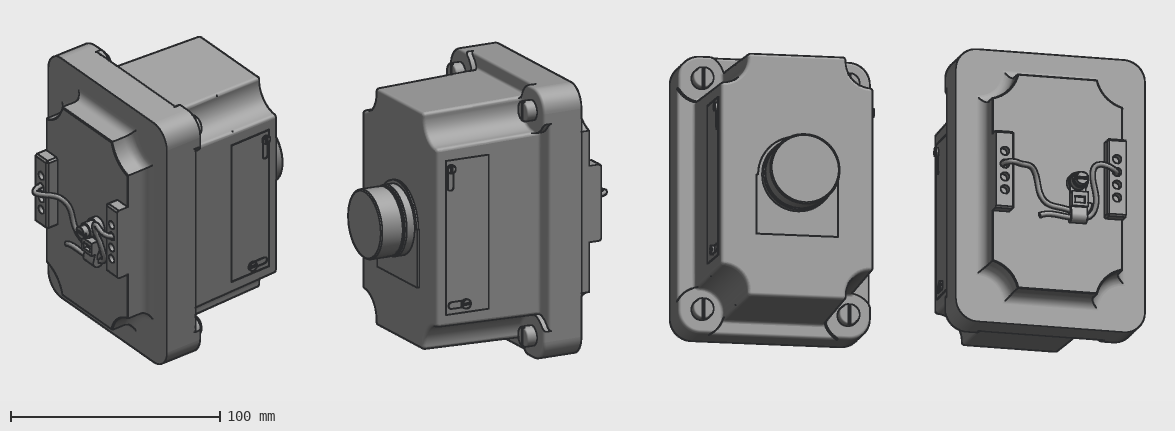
import cadquery as cq
import math

FLANGE_WIDTH = 93.7
FLANGE_HEIGHT = 134.9
FLANGE_THICKNESS = 18.0
CORNER_RADIUS = 10.5
EDGE_ROUND = 1.5

CORNER_X = FLANGE_WIDTH / 2 - CORNER_RADIUS
CORNER_Z = FLANGE_HEIGHT / 2 - CORNER_RADIUS
PAD_TOP = 20.8
PAD_RADIUS = 11.7
BOLT_X = 35.6
BOLT_Z = 56.2
BOLT_DIAMETER = 10.0
BOLT_HEIGHT = 5.3
BOLT_ROUND = 0.8
BOLT_SLOT_WIDTH = 1.1
BOLT_SLOT_DEPTH = 1.0

HOUSING_END = 73.6
HOUSING_BASE_X = 38.3
HOUSING_BASE_Z = 60.3
HOUSING_BASE_SCOOP = 11.2
HOUSING_DRAFT = 1.2
HOUSING_ROUND = 1.6
HOUSING_FOOT_ROUND = 1.3
FOOT_SEARCH_GAP = 0.1

PEDESTAL_X = 32.2
PEDESTAL_Z = 53.0
PEDESTAL_HEIGHT = 12.4
PEDESTAL_SCOOP = 17.1
PEDESTAL_CHAMFER = 0.4
COVE_RADIUS = 4.7

LABEL_START = 45.6
LABEL_END = 68.5
LABEL_TOP = 38.2
LABEL_BOTTOM = -38.7
LABEL_THICKNESS = 0.4
SCREW_TIP_X = 38.8
RECESS_DEPTH = 0.4
LABEL_SCREW_SLOT = 0.8
UPPER_SCREW_Y = 66.1
UPPER_SCREW_Z = 33.9
UPPER_SCREW_DIAMETER = 4.2
UPPER_RECESS_WIDTH = 3.0
UPPER_RECESS_END_Z = 22.9
LOWER_SCREW_Y = 58.0
LOWER_SCREW_Z = -34.4
LOWER_SCREW_DIAMETER = 4.6
LOWER_RECESS_WIDTH = 3.4
LOWER_RECESS_END_Y = 67.2

RING_RADIUS = 19.2
RING_THICKNESS = 1.1
TAG_WIDTH = 39.7
TAG_BOTTOM = -28.9
COLLAR_DIAMETER = 34.8
COLLAR_END = 79.6
NECK_DIAMETER = 31.5
NECK_END = 81.0
PLUG_DIAMETER = 34.0
PLUG_END = 92.7
PLUG_CHAMFER = 0.7

BLOCK_WIDTH = 9.2
BLOCK_DEPTH = 6.3
BLOCK_TOP = 22.7
BLOCK_BOTTOM = -15.5
BLOCK_CHAMFER = 1.0
TERMINAL_X = 27.8
TERMINAL_PITCH = 6.3
TERMINAL_DIAMETER = 4.2
TERMINAL_DEPTH = 4.0

CLAMP_X = 9.3
CLAMP_WIDTH = 7.8
CLAMP_SCREW_Z = 0.8
CLAMP_SCREW_TIERS = [(9.5, -15.6), (7.8, -20.1), (6.1, -23.5)]
CLAMP_SLOT_WIDTH = 1.1
CLAMP_SLOT_DEPTH = 1.3
CLAMP_STRAP_BACK = -14.7
CLAMP_STRAP_FRONT = -15.6
CLAMP_BLOCK_FRONT = -19.5
CLAMP_BLOCK_TOP = -4.9
CLAMP_BLOCK_BOTTOM = -12.0
WINDOW_WIDTH = 5.0
WINDOW_HEIGHT = 3.2
WINDOW_Z = -8.8
WINDOW_DEPTH = 2.0
LOOP_Y = -15.5
LOOP_Z = -16.3
LOOP_RADIUS = 3.1
LOOP_SLOPE = 15

WIRE_DIAMETER = 2.4

CORNERS = [(sx * CORNER_X, sz * CORNER_Z) for sx in (-1, 1) for sz in (-1, 1)]


def section(y):
    """Workplane at height y; local axes are X and Z, negative extrusion goes towards +Y."""
    return cq.Workplane("XZ", origin=(0, y, 0))


def box(x0, x1, y0, y1, z0, z1):
    return cq.Workplane("XY").box(x1 - x0, y1 - y0, z1 - z0, centered=False).translate((x0, y0, z0))


def disc(x, z, diameter, y0, y1):
    return section(y0).center(x, z).circle(diameter / 2).extrude(y0 - y1)


def scooped_outline(plane, half_x, half_z, scoop):
    """Rectangle whose corners are hollowed by arcs centred on the flange corner centres."""
    tip_x = CORNER_X - math.sqrt(scoop**2 - (half_z - CORNER_Z) ** 2)
    tip_z = CORNER_Z - math.sqrt(scoop**2 - (half_x - CORNER_X) ** 2)
    mid_x = CORNER_X - scoop * math.sqrt(0.5)
    mid_z = CORNER_Z - scoop * math.sqrt(0.5)
    return (
        plane.moveTo(-tip_x, half_z)
        .lineTo(tip_x, half_z)
        .threePointArc((mid_x, mid_z), (half_x, tip_z))
        .lineTo(half_x, -tip_z)
        .threePointArc((mid_x, -mid_z), (tip_x, -half_z))
        .lineTo(-tip_x, -half_z)
        .threePointArc((-mid_x, -mid_z), (-half_x, -tip_z))
        .lineTo(-half_x, tip_z)
        .threePointArc((-mid_x, mid_z), (-tip_x, half_z))
        .close()
    )


def flange_blank(height):
    plate = section(0).rect(FLANGE_WIDTH, FLANGE_HEIGHT).extrude(-height)
    return plate.edges("|Y").fillet(CORNER_RADIUS).faces(">Y").edges().fillet(EDGE_ROUND)


def corner_pads():
    """Round pads that reach the scooped housing wall and follow the flange outline."""
    pads = section(0).pushPoints(CORNERS).circle(PAD_RADIUS).extrude(-PAD_TOP)
    return pads.intersect(flange_blank(PAD_TOP))


def foot_edges(y):
    """Edges at height y where the housing wall meets the surface below it."""
    gap = FOOT_SEARCH_GAP
    reach_x = HOUSING_BASE_X + gap
    reach_z = HOUSING_BASE_Z + gap
    low = (-reach_x, y - gap, -reach_z)
    high = (reach_x, y + gap, reach_z)
    return cq.selectors.BoxSelector(low, high, boundingbox=True)


def bolt(x, z):
    end = PAD_TOP + BOLT_HEIGHT
    head = disc(x, z, BOLT_DIAMETER, PAD_TOP, end).faces(">Y").edges().fillet(BOLT_ROUND)
    half_slot = BOLT_SLOT_WIDTH / 2
    slot = box(x - half_slot, x + half_slot, end - BOLT_SLOT_DEPTH, end,
               z - BOLT_DIAMETER / 2, z + BOLT_DIAMETER / 2)
    return head.cut(slot)


def drafted_housing(growth=0.0):
    base_x = HOUSING_BASE_X + growth
    base_z = HOUSING_BASE_Z + growth
    base_scoop = HOUSING_BASE_SCOOP - growth
    base = scooped_outline(section(FLANGE_THICKNESS), base_x, base_z, base_scoop)
    end_plane = base.workplane(offset=FLANGE_THICKNESS - HOUSING_END)
    end = scooped_outline(end_plane, base_x - HOUSING_DRAFT, base_z - HOUSING_DRAFT,
                          base_scoop + HOUSING_DRAFT)
    return end.loft(ruled=True)


def housing():
    return drafted_housing().edges("not <Y").fillet(HOUSING_ROUND)


def pedestal():
    raised = scooped_outline(section(0), PEDESTAL_X, PEDESTAL_Z, PEDESTAL_SCOOP).extrude(PEDESTAL_HEIGHT)
    raised = raised.faces("<Y").edges().chamfer(PEDESTAL_CHAMFER)
    return raised.union(coved_foot())


def coved_foot():
    """Foot block hollowed by bars along its sides and rings around its scoops."""
    foot_x = PEDESTAL_X + COVE_RADIUS
    foot_z = PEDESTAL_Z + COVE_RADIUS
    foot_scoop = PEDESTAL_SCOOP - COVE_RADIUS
    foot = scooped_outline(section(0), foot_x, foot_z, foot_scoop).extrude(COVE_RADIUS)
    for side in (-1, 1):
        upright = cq.Workplane("XY").center(side * foot_x, -COVE_RADIUS).circle(COVE_RADIUS)
        foot = foot.cut(upright.extrude(foot_z, both=True))
        level = cq.Workplane("YZ").center(-COVE_RADIUS, side * foot_z).circle(COVE_RADIUS)
        foot = foot.cut(level.extrude(foot_x, both=True))
    for x, z in CORNERS:
        ring = cq.Solid.makeTorus(foot_scoop, COVE_RADIUS, cq.Vector(x, -COVE_RADIUS, z), cq.Vector(0, 1, 0))
        foot = foot.cut(cq.Workplane(ring))
    return foot


def label_plates():
    zone = box(-FLANGE_WIDTH, FLANGE_WIDTH, LABEL_START, LABEL_END, LABEL_BOTTOM, LABEL_TOP)
    return drafted_housing(LABEL_THICKNESS).intersect(zone)


def label_skin():
    """Outermost layer of the label plates, as deep as the recesses."""
    return drafted_housing(LABEL_THICKNESS).cut(drafted_housing(LABEL_THICKNESS - RECESS_DEPTH))


def label_screw(side, y, z, diameter, slot_angle):
    head = cq.Workplane("YZ").center(y, z).circle(diameter / 2).extrude(side * SCREW_TIP_X)
    tip_plane = cq.Workplane("YZ", origin=(side * SCREW_TIP_X, y, z))
    groove = tip_plane.transformed(rotate=(0, 0, slot_angle)).rect(diameter, LABEL_SCREW_SLOT)
    groove = groove.extrude(-side * RECESS_DEPTH)
    return head.cut(groove)


def add_upper_fastener(body, side):
    """Screw at the top of a shallow upright recess."""
    top = UPPER_SCREW_Z + UPPER_RECESS_WIDTH / 2
    recess = cq.Workplane("YZ").center(UPPER_SCREW_Y, (top + UPPER_RECESS_END_Z) / 2)
    recess = recess.slot2D(top - UPPER_RECESS_END_Z, UPPER_RECESS_WIDTH, 90).extrude(side * FLANGE_WIDTH)
    body = body.cut(recess.intersect(label_skin()))
    return body.union(label_screw(side, UPPER_SCREW_Y, UPPER_SCREW_Z, UPPER_SCREW_DIAMETER, 90))


def add_lower_fastener(body, side):
    """Screw at the front end of a shallow level recess."""
    front = LOWER_SCREW_Y - LOWER_RECESS_WIDTH / 2
    recess = cq.Workplane("YZ").center((front + LOWER_RECESS_END_Y) / 2, LOWER_SCREW_Z)
    recess = recess.slot2D(LOWER_RECESS_END_Y - front, LOWER_RECESS_WIDTH).extrude(side * FLANGE_WIDTH)
    body = body.cut(recess.intersect(label_skin()))
    return body.union(label_screw(side, LOWER_SCREW_Y, LOWER_SCREW_Z, LOWER_SCREW_DIAMETER, 0))


def connector():
    ring = disc(0, 0, 2 * RING_RADIUS, HOUSING_END, HOUSING_END + RING_THICKNESS)
    tag = box(-TAG_WIDTH / 2, TAG_WIDTH / 2, HOUSING_END, HOUSING_END + RING_THICKNESS, TAG_BOTTOM, 0)
    collar = disc(0, 0, COLLAR_DIAMETER, HOUSING_END, COLLAR_END).faces(">Y").edges().chamfer(PLUG_CHAMFER)
    neck = disc(0, 0, NECK_DIAMETER, HOUSING_END, NECK_END)
    plug = disc(0, 0, PLUG_DIAMETER, NECK_END, PLUG_END).faces(">Y").edges().chamfer(PLUG_CHAMFER)
    return ring.union(tag).union(collar).union(neck).union(plug)


def terminal_block(side):
    front = -PEDESTAL_HEIGHT - BLOCK_DEPTH
    inner = PEDESTAL_X - BLOCK_WIDTH
    block = box(inner, PEDESTAL_X, front, -PEDESTAL_HEIGHT + PEDESTAL_CHAMFER, BLOCK_BOTTOM, BLOCK_TOP)
    block = block.edges("(<Y and (not >X)) or (<X and |Y)").chamfer(BLOCK_CHAMFER)
    holes = section(front).pushPoints([(TERMINAL_X, TERMINAL_PITCH * i) for i in (-1, 0, 1, 2)])
    block = block.cut(holes.circle(TERMINAL_DIAMETER / 2).extrude(-TERMINAL_DEPTH))
    return block if side > 0 else block.mirror("YZ")


def cable_clamp():
    x0 = CLAMP_X - CLAMP_WIDTH / 2
    x1 = CLAMP_X + CLAMP_WIDTH / 2
    back = CLAMP_STRAP_BACK
    clamp = box(x0, x1, CLAMP_STRAP_FRONT, back, LOOP_Z, CLAMP_SCREW_Z)
    clamp = clamp.union(box(x0, x1, CLAMP_BLOCK_FRONT, back, CLAMP_BLOCK_BOTTOM, CLAMP_BLOCK_TOP))
    window = section(CLAMP_BLOCK_FRONT).center(CLAMP_X, WINDOW_Z).rect(WINDOW_WIDTH, WINDOW_HEIGHT)
    clamp = clamp.cut(window.extrude(-WINDOW_DEPTH))
    loop = cq.Workplane("YZ", origin=(x0, LOOP_Y, LOOP_Z)).circle(LOOP_RADIUS).extrude(CLAMP_WIDTH)
    lean = math.radians(LOOP_SLOPE)
    tangent_y = LOOP_Y - LOOP_RADIUS * math.cos(lean)
    tangent_z = LOOP_Z + LOOP_RADIUS * math.sin(lean)
    slope_top_y = tangent_y + (CLAMP_BLOCK_BOTTOM - tangent_z) * math.tan(lean)
    slope = cq.Workplane("YZ", origin=(x0, 0, 0)).polyline([
        (back, LOOP_Z),
        (LOOP_Y, LOOP_Z),
        (tangent_y, tangent_z),
        (slope_top_y, CLAMP_BLOCK_BOTTOM),
        (back, CLAMP_BLOCK_BOTTOM),
    ]).close().extrude(CLAMP_WIDTH)
    clamp = clamp.union(loop).union(slope)
    for diameter, front in CLAMP_SCREW_TIERS:
        clamp = clamp.union(disc(CLAMP_X, CLAMP_SCREW_Z, diameter, front, -PEDESTAL_HEIGHT))
    tip_diameter, tip = CLAMP_SCREW_TIERS[-1]
    slot = section(tip).center(CLAMP_X, CLAMP_SCREW_Z).rect(tip_diameter, CLAMP_SLOT_WIDTH)
    return clamp.cut(slot.extrude(-CLAMP_SLOT_DEPTH))


def wire(points):
    path = cq.Workplane("XY").spline([cq.Vector(*p) for p in points])
    plane = cq.Plane(origin=points[0], normal=path.val().tangentAt(0))
    return cq.Workplane(plane).circle(WIRE_DIAMETER / 2).sweep(path)


WIRE_Z = TERMINAL_PITCH
HOLE_FLOOR = -PEDESTAL_HEIGHT - BLOCK_DEPTH + TERMINAL_DEPTH
LEFT_WIRE = [
    (-TERMINAL_X, HOLE_FLOOR, WIRE_Z),
    (-TERMINAL_X, -21.8, WIRE_Z),
    (-25.9, -23.9, WIRE_Z),
    (-20.0, -20.5, WIRE_Z),
    (-14.3, -17.3, 6.2),
    (-11.0, -14.7, 2.0),
    (-8.5, -13.6, -6.7),
    (-5.7, -13.6, -10.1),
    (-0.7, -14.2, -11.9),
    (CLAMP_X, LOOP_Y, LOOP_Z),
]
RIGHT_WIRE = [
    (TERMINAL_X, HOLE_FLOOR, WIRE_Z),
    (27.2, -19.3, WIRE_Z),
    (23.6, -21.5, 7.7),
    (20.1, -21.2, 8.8),
    (16.6, -20.2, 8.0),
    (15.5, -19.5, 4.9),
    (16.7, -17.8, -1.6),
    (18.1, -16.5, -8.2),
    (17.0, -14.8, -13.5),
    (CLAMP_X, LOOP_Y, LOOP_Z),
]
LOOSE_WIRE = [
    (-10.0, -16.7, -17.4),
    (0.0, -16.5, -16.6),
    (CLAMP_X, LOOP_Y, LOOP_Z),
    (13.8, -15.1, -13.0),
    (15.2, -15.1, -9.3),
]


result = flange_blank(FLANGE_THICKNESS).union(housing())
result = result.edges(foot_edges(FLANGE_THICKNESS)).fillet(HOUSING_FOOT_ROUND)
result = result.union(corner_pads())
result = result.edges(foot_edges(PAD_TOP)).fillet(HOUSING_FOOT_ROUND)
result = result.union(pedestal())
result = result.union(label_plates())
for hand in (-1, 1):
    result = add_upper_fastener(result, hand)
    result = add_lower_fastener(result, hand)

bolts = [bolt(side_x * BOLT_X, side_z * BOLT_Z) for side_x in (-1, 1) for side_z in (-1, 1)]
wires = cable_clamp()
for route in (LEFT_WIRE, RIGHT_WIRE, LOOSE_WIRE):
    wires = wires.union(wire(route))
for part in bolts + [terminal_block(-1), terminal_block(1), connector(), wires]:
    result = result.union(part)
result = cq.Workplane(result.solids().val())